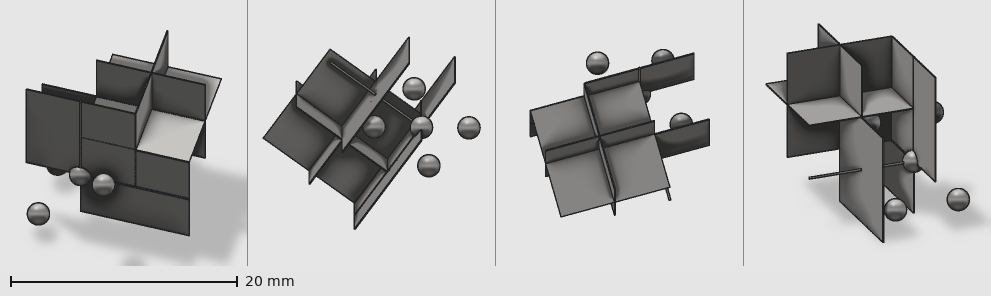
import cadquery as cq

overall_length = 15.0
cell = overall_length / 3
plate_side = 2 * cell
plate_thickness = 0.1
rod_diameter = 0.2
ball_diameter = 2.0
ball_offset = 3.0


def square_plate(normal, center):
    """Thin square plate, normal to the named axis and centred on the given point."""
    sides = [plate_thickness if axis == normal else plate_side for axis in "XYZ"]
    return cq.Workplane("XY").box(*sides).translate(center)


def axis_rod(direction):
    """Thin round rod running from the origin along the given axis."""
    return cq.Workplane(cq.Solid.makeCylinder(
        rod_diameter / 2, plate_side, cq.Vector(0, 0, 0), cq.Vector(*direction)))


def ball(center):
    """Ball centred on the given point."""
    return cq.Workplane("XY").sphere(ball_diameter / 2).translate(center)


def plate_frame():
    """Crossed plates, three axis rods and the ball at the origin, in one solid."""
    frame = ball((0, 0, 0))

    half_thickness = plate_thickness / 2
    frame = frame.union(square_plate("X", (cell + half_thickness, cell, cell)))
    frame = frame.union(square_plate("Y", (cell, cell - half_thickness, cell)))
    frame = frame.union(square_plate("Z", (cell, cell, cell + half_thickness)))

    frame = frame.union(square_plate("Y", (0, cell, 0)))

    frame = frame.union(square_plate("Y", (0, 0, cell)))
    frame = frame.union(square_plate("Y", (cell, 0, 0)))

    for direction in [(1, 0, 0), (0, 1, 0), (0, 0, 1)]:
        frame = frame.union(axis_rod(direction))
    return frame.solids()


frame = plate_frame()

loose_balls = [
    ball((side * ball_offset, depth * ball_offset, side * ball_offset))
    for side in (-1, 1)
    for depth in (-1, 1)
]

result = cq.Compound.makeCompound([frame.val(), *[loose_ball.val() for loose_ball in loose_balls]])